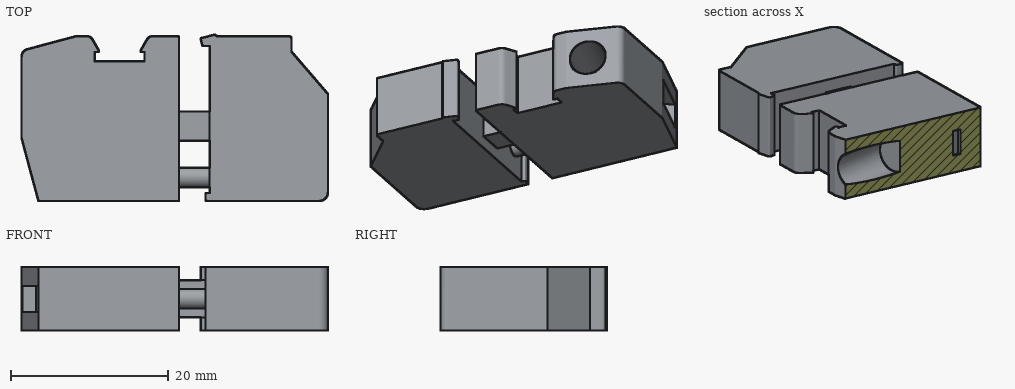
import cadquery as cq
import math

THICKNESS = 8.1
MID_Z = THICKNESS / 2
TOTAL_LENGTH = 39.0
BODY_HEIGHT = 21.0
TAPER = math.tan(math.radians(15))

HOUSING_RIGHT = 20.05
SLANT_TOP_Y = 8.0
WEDGE_BASE_Y = 19.13
WEDGE_TOP_X = (BODY_HEIGHT - WEDGE_BASE_Y) / TAPER
WEDGE_CORNER_RADIUS = 1.0
HOUSING_EDGE_RADIUS = 0.2
NOTCH_CENTER_X = 12.5
NOTCH_FLOOR_Y = 17.8
NOTCH_HALF_WIDTH = 3.15
LIP_UNDERSIDE_Y = 18.95
LIP_TIP_HALF_WIDTH = 2.53
LIP_TOP_HALF_WIDTH = 3.7
LIP_TIP_RADIUS = 0.15
LIP_TOP_RADIUS = 0.9

COVER_LEFT = 23.93
COVER_STEP_X = 34.37
COVER_STEP_Y = 19.0
COVER_BEVEL_END_Y = 13.63
COVER_STEP_RADIUS = 0.4
COVER_CORNER_RADIUS = 1.1
FOOT_LEFT = 23.4
FOOT_HEIGHT = 1.05
FOOT_RADIUS = 0.2
HOOK_TOP = 21.19
HOOK_TOP_X = 24.6
HOOK_TIP_X = 22.75
HOOK_TIP_Y = 20.72
HOOK_UNDERSIDE_X = 23.02
HOOK_UNDERSIDE_Y = 19.72
HOOK_END_X = 24.84
HOOK_RADIUS = 0.2

BAR_TOP_Y = 11.4
BAR_BOTTOM_Y = 7.65
BAR_WIDTH = 4.74
PIN_DIAMETER = 2.5
PIN_Y = 3.0

WIRE_LOW_Y = 1.0
WIRE_HIGH_Y = 7.55
WIRE_HEIGHT = 3.3
WIRE_FLOOR_LOW_X = 5.6
WIRE_FLOOR_LOW_Y = 3.27
WIRE_FLOOR_HIGH_X = 4.5
WIRE_FLOOR_HIGH_Y = 7.03
SCREW_DIAMETER = 4.65
SCREW_CENTER_Y = 20.28
SCREW_DEPTH = 8.0


def fillet_corner(body, x, y, radius):
    """Round the vertical edge standing at (x, y)."""
    corner = cq.selectors.NearestToPointSelector((x, y, MID_Z))
    return body.edges("|Z").edges(corner).fillet(radius)


def make_rail_notch():
    """Undercut notch whose rounded lips flare outward to the top of the housing."""
    right_half = [
        (NOTCH_HALF_WIDTH, NOTCH_FLOOR_Y),
        (NOTCH_HALF_WIDTH, LIP_UNDERSIDE_Y),
        (LIP_TIP_HALF_WIDTH, LIP_UNDERSIDE_Y),
        (LIP_TOP_HALF_WIDTH, BODY_HEIGHT),
    ]
    left_half = [(-x, y) for x, y in reversed(right_half)]
    return (
        cq.Workplane("XY", origin=(NOTCH_CENTER_X, 0, 0))
        .polyline(right_half + left_half)
        .close()
        .extrude(THICKNESS)
    )


def make_housing():
    outline = (
        cq.Workplane("XY")
        .moveTo(SLANT_TOP_Y * TAPER, 0)
        .lineTo(HOUSING_RIGHT, 0)
        .lineTo(HOUSING_RIGHT, BODY_HEIGHT)
        .lineTo(WEDGE_TOP_X, BODY_HEIGHT)
        .lineTo(0, WEDGE_BASE_Y)
        .lineTo(0, SLANT_TOP_Y)
        .close()
    )
    housing = outline.extrude(THICKNESS).cut(make_rail_notch())
    for side in (-1, 1):
        tip_x = NOTCH_CENTER_X + side * LIP_TIP_HALF_WIDTH
        top_x = NOTCH_CENTER_X + side * LIP_TOP_HALF_WIDTH
        housing = fillet_corner(housing, tip_x, LIP_UNDERSIDE_Y, LIP_TIP_RADIUS)
        housing = fillet_corner(housing, top_x, BODY_HEIGHT, LIP_TOP_RADIUS)
    housing = fillet_corner(housing, 0, WEDGE_BASE_Y, WEDGE_CORNER_RADIUS)
    return fillet_corner(housing, HOUSING_RIGHT, BODY_HEIGHT, HOUSING_EDGE_RADIUS)


def make_cover():
    outline = (
        cq.Workplane("XY")
        .moveTo(FOOT_LEFT, 0)
        .lineTo(TOTAL_LENGTH, 0)
        .lineTo(TOTAL_LENGTH, COVER_BEVEL_END_Y)
        .lineTo(COVER_STEP_X, COVER_STEP_Y)
        .lineTo(COVER_STEP_X, BODY_HEIGHT)
        .lineTo(HOOK_END_X, BODY_HEIGHT)
        .lineTo(HOOK_TOP_X, HOOK_TOP)
        .lineTo(HOOK_TIP_X, HOOK_TIP_Y)
        .lineTo(HOOK_UNDERSIDE_X, HOOK_UNDERSIDE_Y)
        .lineTo(COVER_LEFT, HOOK_UNDERSIDE_Y)
        .lineTo(COVER_LEFT, FOOT_HEIGHT)
        .lineTo(FOOT_LEFT, FOOT_HEIGHT)
        .close()
    )
    cover = outline.extrude(THICKNESS)
    cover = fillet_corner(cover, TOTAL_LENGTH, 0, COVER_CORNER_RADIUS)
    cover = fillet_corner(cover, COVER_STEP_X, BODY_HEIGHT, COVER_STEP_RADIUS)
    cover = fillet_corner(cover, HOOK_TIP_X, HOOK_TIP_Y, HOOK_RADIUS)
    cover = fillet_corner(cover, HOOK_UNDERSIDE_X, HOOK_UNDERSIDE_Y, HOOK_RADIUS)
    cover = fillet_corner(cover, FOOT_LEFT, 0, FOOT_RADIUS)
    return fillet_corner(cover, FOOT_LEFT, FOOT_HEIGHT, FOOT_RADIUS)


def make_bar():
    height = BAR_TOP_Y - BAR_BOTTOM_Y
    return (
        cq.Workplane("YZ", origin=(HOUSING_RIGHT, BAR_BOTTOM_Y + height / 2, MID_Z))
        .rect(height, BAR_WIDTH)
        .extrude(COVER_LEFT - HOUSING_RIGHT)
    )


def make_pin():
    return (
        cq.Workplane("YZ", origin=(HOUSING_RIGHT, PIN_Y, MID_Z))
        .circle(PIN_DIAMETER / 2)
        .extrude(COVER_LEFT - HOUSING_RIGHT)
    )


def make_wire_opening():
    """Rectangular funnel from the slanted face, narrowing to a sloping floor."""
    return (
        cq.Workplane("XY", origin=(0, 0, MID_Z))
        .moveTo((SLANT_TOP_Y - WIRE_LOW_Y) * TAPER, WIRE_LOW_Y)
        .lineTo(WIRE_FLOOR_LOW_X, WIRE_FLOOR_LOW_Y)
        .lineTo(WIRE_FLOOR_HIGH_X, WIRE_FLOOR_HIGH_Y)
        .lineTo((SLANT_TOP_Y - WIRE_HIGH_Y) * TAPER, WIRE_HIGH_Y)
        .close()
        .extrude(WIRE_HEIGHT / 2, both=True)
    )


def make_screw_opening():
    """Round pocket running square into the wedge face."""
    center_x = (SCREW_CENTER_Y - WEDGE_BASE_Y) / TAPER
    mouth = cq.Plane(
        origin=(center_x, SCREW_CENTER_Y, MID_Z), xDir=(1, TAPER, 0), normal=(TAPER, -1, 0)
    )
    return cq.Workplane(mouth).circle(SCREW_DIAMETER / 2).extrude(SCREW_DEPTH)


housing = make_housing().cut(make_wire_opening()).cut(make_screw_opening())
result = housing.union(make_bar()).union(make_pin()).union(make_cover())